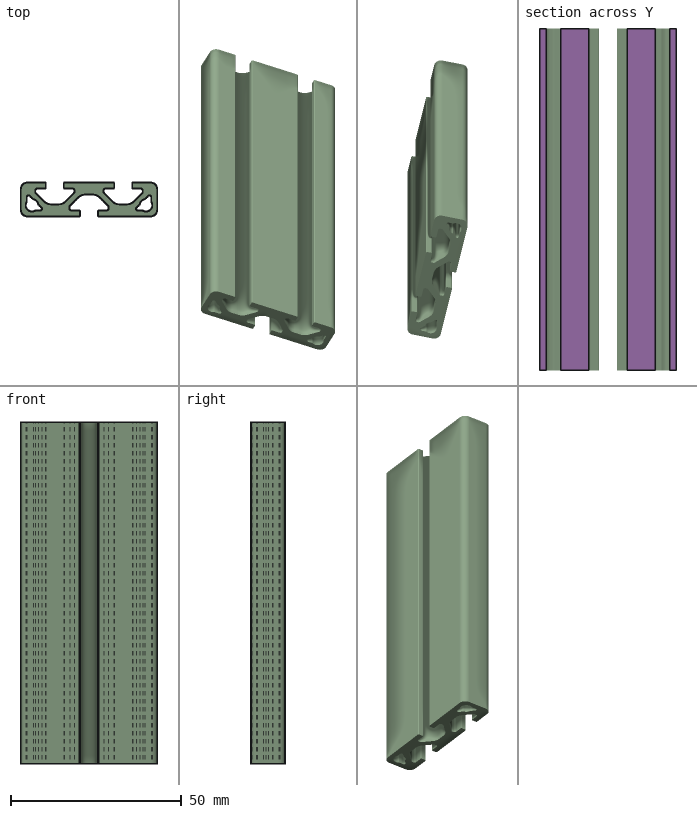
import cadquery as cq

width = 40.0
depth = 10.0
length = 100.0
corner_radius = 2.0

slot_pitch = 20.0
slot_opening = 5.2
slot_depth = 6.4
lip_thickness = 1.8
undercut_half_width = 5.7
undercut_radius = 0.6
lip_chamfer = 0.2
floor_half_width = 2.3
floor_radius = 3.0

hollow_wall = 1.8
hollow_diagonal = 8.7
hollow_tip_radius = 0.5
hollow_corner_radius = 1.5
bore_radius = 1.8
bore_offset = 3.3


def make_slot():
    """T-slot cutter centred on X = 0, opening at Y = 0 and going down to -Y."""
    lip_half = slot_opening / 2
    chamfer_half = lip_half + lip_chamfer
    opening = (
        cq.Workplane("XY")
        .polyline([
            (-chamfer_half, 0),
            (chamfer_half, 0),
            (lip_half, -lip_chamfer),
            (lip_half, lip_chamfer - lip_thickness),
            (chamfer_half, -lip_thickness),
            (-chamfer_half, -lip_thickness),
            (-lip_half, lip_chamfer - lip_thickness),
            (-lip_half, -lip_chamfer),
        ])
        .close()
        .extrude(length)
    )

    wall_top_depth = slot_depth - (undercut_half_width - floor_half_width)
    chamber = (
        cq.Workplane("XY")
        .polyline([
            (-undercut_half_width, -lip_thickness),
            (undercut_half_width, -lip_thickness),
            (undercut_half_width, -wall_top_depth),
            (floor_half_width, -slot_depth),
            (-floor_half_width, -slot_depth),
            (-undercut_half_width, -wall_top_depth),
        ])
        .close()
        .extrude(length)
    )
    chamber = chamber.edges("|Z").edges("<Y").fillet(floor_radius)
    undercut_zone = cq.selectors.BoxSelector(
        (-width, -wall_top_depth - undercut_radius, 0), (width, 0, length)
    )
    chamber = chamber.edges("|Z").edges(undercut_zone).fillet(undercut_radius)
    return opening.union(chamber)


def make_hollow():
    """Corner hollow for the -X, -Y corner of the profile."""
    tip = hollow_diagonal - hollow_wall
    hollow = (
        cq.Workplane("XY")
        .polyline([
            (hollow_wall, hollow_wall),
            (tip, hollow_wall),
            (hollow_wall, tip),
        ])
        .close()
        .extrude(length)
    )
    tip_edges = hollow.edges("|Z and (>X or >Y)")
    hollow = tip_edges.fillet(hollow_tip_radius)
    hollow = hollow.edges("|Z").edges("<(1, 1, 0)").fillet(hollow_corner_radius)
    bore = cq.Workplane("XY").center(bore_offset, bore_offset).circle(bore_radius).extrude(length)
    return hollow.union(bore).translate((-width / 2, -depth / 2, 0))


body = cq.Workplane("XY").rect(width, depth).extrude(length)
body = body.edges("|Z").fillet(corner_radius)

slot = make_slot().translate((0, depth / 2, 0))
for slot_x in (-slot_pitch / 2, slot_pitch / 2):
    body = body.cut(slot.translate((slot_x, 0, 0)))
body = body.cut(slot.mirror("XZ"))

hollow = make_hollow()
body = body.cut(hollow)
body = body.cut(hollow.mirror("YZ"))

result = body